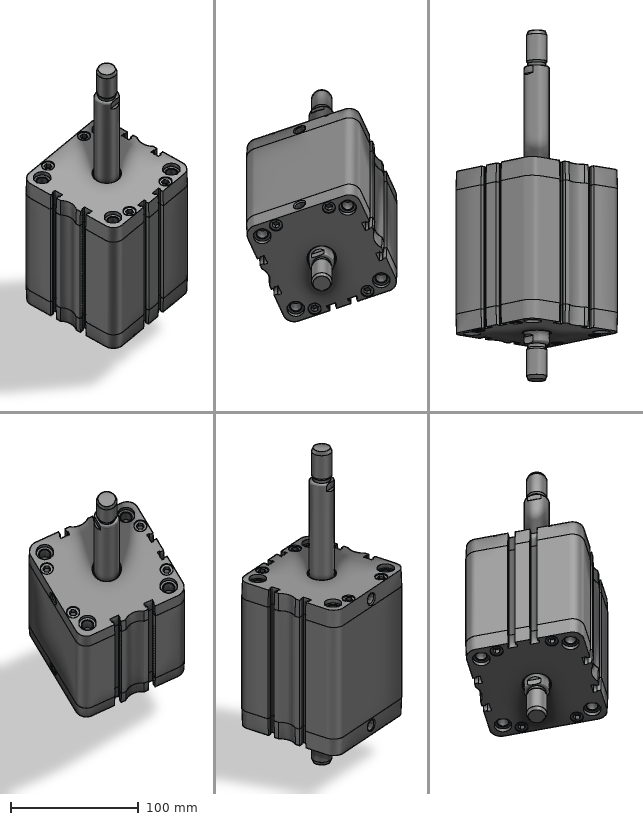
import cadquery as cq
import math

TOTAL_LENGTH = 278.0
BODY_HEIGHT = 129.0
CAP_HEIGHT = 15.0
LOWER_ROD_REACH = 37.5
TUBE_HEIGHT = BODY_HEIGHT - 2 * CAP_HEIGHT
ROD_BOTTOM = -BODY_HEIGHT / 2 - LOWER_ROD_REACH
ROD_TOP = ROD_BOTTOM + TOTAL_LENGTH

TUBE_WIDTH = 95.5
TUBE_CORNER_RADIUS = 9.7
CAP_INSET = 0.5
CAP_DRAFT_ANGLE = math.degrees(math.atan(CAP_INSET / CAP_HEIGHT))

SLOT_NECK_WIDTH = 5.8
SLOT_INNER_WIDTH = 7.5
SLOT_LIP = 3.5
SLOT_DEPTH = 6.7
SIDE_SLOT_DEPTH = 5.5
FACE_SLOT_OFFSET = 15.0
SIDE_SLOT_OFFSET = 9.0
GROOVE_DIAMETER = 25.0
GROOVE_DEPTH = 2.8
GROOVE_CENTER = TUBE_WIDTH / 2 - GROOVE_DEPTH + GROOVE_DIAMETER / 2
GROOVE_MOUTH_RADIUS = 1.0

MOUNT_PITCH = 72.0
MOUNT_BORE_DIAMETER = 13.5
MOUNT_BORE_DEPTH = 3.5
MOUNT_HOLE_DIAMETER = 8.5
MOUNT_CHAMFER_DIAMETER = 9.7

SCREW_SPAN_X = 82.8
SCREW_SPAN_Y = 44.5
SCREW_RECESS_DIAMETER = 10.3
SCREW_RECESS_FLOOR_DIAMETER = 9.7
SCREW_RECESS_DEPTH = 0.8
SCREW_HEX_ACROSS_FLATS = 5.3
SCREW_HEX_DEPTH = 4.2

PORT_DIAMETER = 8.5
PORT_CHAMFER_DIAMETER = 10.8
PORT_DEPTH = 11.0
PORT_INSET = 8.3

ROD_DIAMETER = 20.0
ROD_CHAMFER_DIAMETER = 23.0
ROD_RECESS_DIAMETER = 22.0
ROD_RECESS_DEPTH = 2.8
THREAD_DIAMETER = 16.0
THREAD_LENGTH = 28.0
NECK_DIAMETER = 14.2
NECK_LENGTH = 2.5
NECK_TAPER = 1.7
TIP_DIAMETER = 13.5
TIP_CHAMFER = 3.0
SHOULDER_ROUND_RADIUS = 2.0
FLAT_ACROSS = 17.0
FLAT_LENGTH = 5.8


def t_slot(depth):
    """T-slot cutter over the full body height, opening toward +X."""
    face = TUBE_WIDTH / 2
    neck = cq.Workplane("XY").box(depth, SLOT_NECK_WIDTH, BODY_HEIGHT)
    neck = neck.translate((face - depth / 2, 0, 0))
    inner_depth = depth - SLOT_LIP
    inner = cq.Workplane("XY").box(inner_depth, SLOT_INNER_WIDTH, BODY_HEIGHT)
    inner = inner.translate((face - SLOT_LIP - inner_depth / 2, 0, 0))
    return neck.union(inner)


def cut_t_slots(body):
    """Cut the pairs of straight T-slots into the +X, +Y and -Y sides."""
    for side in (-1, 1):
        body = body.cut(t_slot(SIDE_SLOT_DEPTH).translate((0, side * SIDE_SLOT_OFFSET, 0)))
        face_slot = t_slot(SLOT_DEPTH).rotate((0, 0, 0), (0, 0, 1), side * 90)
        for offset in (-FACE_SLOT_OFFSET, FACE_SLOT_OFFSET):
            body = body.cut(face_slot.translate((offset, 0, 0)))
    return body


def make_block(bottom, height, draft_angle=0):
    """Rounded square block with a round groove in its +Y and -Y sides; draft narrows it upward."""
    base = cq.Workplane("XY").workplane(offset=bottom)
    outline = cq.Sketch().rect(TUBE_WIDTH, TUBE_WIDTH).vertices().fillet(TUBE_CORNER_RADIUS)
    block = base.placeSketch(outline).extrude(height, taper=draft_angle)
    groove = base.circle(GROOVE_DIAMETER / 2).extrude(height, taper=-draft_angle)
    for side in (-1, 1):
        block = block.cut(groove.translate((0, side * GROOVE_CENTER, 0)))
    return block


def cut_mount_holes(cap, top):
    """Cut the stepped and chamfered mounting hole in each corner."""
    seat = top - MOUNT_BORE_DEPTH
    chamfer = (MOUNT_CHAMFER_DIAMETER - MOUNT_HOLE_DIAMETER) / 2
    profile = [
        (0, top),
        (MOUNT_BORE_DIAMETER / 2, top),
        (MOUNT_BORE_DIAMETER / 2, seat),
        (MOUNT_CHAMFER_DIAMETER / 2, seat),
        (MOUNT_HOLE_DIAMETER / 2, seat - chamfer),
        (MOUNT_HOLE_DIAMETER / 2, top - CAP_HEIGHT),
        (0, top - CAP_HEIGHT),
    ]
    hole = cq.Workplane("XZ").polyline(profile).close().revolve(360, (0, 0), (0, 1))
    for x in (-MOUNT_PITCH / 2, MOUNT_PITCH / 2):
        for y in (-MOUNT_PITCH / 2, MOUNT_PITCH / 2):
            cap = cap.cut(hole.translate((x, y, 0)))
    return cap


def cut_screw_recesses(cap, top):
    """Cut the round recesses with a hexagonal socket, corners toward +Y and -Y."""
    hex_diameter = SCREW_HEX_ACROSS_FLATS / math.cos(math.pi / 6)
    slope = (SCREW_RECESS_DIAMETER - SCREW_RECESS_FLOOR_DIAMETER) / 2 / SCREW_RECESS_DEPTH
    recess = (
        cq.Workplane("XY").workplane(offset=top)
        .rect(SCREW_SPAN_X, SCREW_SPAN_Y, forConstruction=True).vertices()
        .circle(SCREW_RECESS_DIAMETER / 2)
        .extrude(-SCREW_RECESS_DEPTH, taper=math.degrees(math.atan(slope)))
    )
    socket = (
        cq.Workplane("XY").workplane(offset=top).transformed(rotate=(0, 0, 90))
        .rect(SCREW_SPAN_Y, SCREW_SPAN_X, forConstruction=True).vertices()
        .polygon(6, hex_diameter).extrude(-SCREW_RECESS_DEPTH - SCREW_HEX_DEPTH)
    )
    return cap.cut(recess).cut(socket)


def cut_port(cap, level):
    """Cut the chamfered blind port into the -X side."""
    face = -TUBE_WIDTH / 2
    chamfer = (PORT_CHAMFER_DIAMETER - PORT_DIAMETER) / 2
    profile = [
        (face, 0),
        (face, PORT_CHAMFER_DIAMETER / 2),
        (face + chamfer, PORT_DIAMETER / 2),
        (face + PORT_DEPTH, PORT_DIAMETER / 2),
        (face + PORT_DEPTH, 0),
    ]
    port = cq.Workplane("XY").polyline(profile).close().revolve(360, (0, 0), (1, 0))
    return cap.cut(port.translate((0, 0, level)))


def cut_rod_passage(cap, top):
    """Cut the rod hole with a wider, chamfered recess at the outer end."""
    chamfer = (ROD_CHAMFER_DIAMETER - ROD_RECESS_DIAMETER) / 2
    seat = top - ROD_RECESS_DEPTH
    profile = [
        (0, top),
        (ROD_CHAMFER_DIAMETER / 2, top),
        (ROD_RECESS_DIAMETER / 2, top - chamfer),
        (ROD_RECESS_DIAMETER / 2, seat),
        (ROD_DIAMETER / 2, seat),
        (ROD_DIAMETER / 2, top - CAP_HEIGHT),
        (0, top - CAP_HEIGHT),
    ]
    return cap.cut(cq.Workplane("XZ").polyline(profile).close().revolve(360, (0, 0), (0, 1)))


def make_cap():
    """Upper end cap."""
    top = BODY_HEIGHT / 2
    cap = make_block(top - CAP_HEIGHT, CAP_HEIGHT, CAP_DRAFT_ANGLE)
    cap = cut_t_slots(cap)
    cap = cut_mount_holes(cap, top)
    cap = cut_screw_recesses(cap, top)
    cap = cut_port(cap, top - PORT_INSET)
    return cut_rod_passage(cap, top)


def make_tube():
    """Profile tube between the caps, with the passage for the rod."""
    tube = make_block(-TUBE_HEIGHT / 2, TUBE_HEIGHT)
    groove_edges = cq.selectors.BoxSelector(
        (-FACE_SLOT_OFFSET, -TUBE_WIDTH, -TUBE_HEIGHT),
        (FACE_SLOT_OFFSET, TUBE_WIDTH, TUBE_HEIGHT),
    )
    tube = tube.edges("|Z").edges(groove_edges).fillet(GROOVE_MOUTH_RADIUS)
    tube = cut_t_slots(tube)
    return tube.cut(cq.Workplane("XY").circle(ROD_DIAMETER / 2).extrude(TUBE_HEIGHT, both=True))


def rod_end_outline(tip, inward):
    """Half outline of a rod end from tip to shoulder; inward is the Z sign toward the body."""
    shoulder = tip + inward * THREAD_LENGTH
    return [
        (0, tip),
        (TIP_DIAMETER / 2, tip),
        (THREAD_DIAMETER / 2, tip + inward * TIP_CHAMFER),
        (THREAD_DIAMETER / 2, shoulder - inward * (NECK_LENGTH + NECK_TAPER)),
        (NECK_DIAMETER / 2, shoulder - inward * NECK_LENGTH),
        (NECK_DIAMETER / 2, shoulder),
        (ROD_DIAMETER / 2, shoulder),
    ]


def cut_wrench_flats(rod, shoulder, inward):
    """Cut two flats facing +X and -X from a shoulder, ending in a 45 degree run-out."""
    flat = FLAT_ACROSS / 2
    depth = ROD_DIAMETER / 2 - flat
    flat_end = shoulder + inward * FLAT_LENGTH
    profile = [
        (flat, shoulder),
        (flat, flat_end),
        (flat + depth, flat_end + inward * depth),
        (flat + depth, shoulder),
    ]
    cutter = cq.Workplane("XZ").polyline(profile).close().extrude(ROD_DIAMETER / 2, both=True)
    return rod.cut(cutter).cut(cutter.mirror("YZ"))


def make_rod():
    """Through rod with a threaded end and wrench flats at both ends."""
    lower_outline = rod_end_outline(ROD_BOTTOM, 1)
    upper_outline = rod_end_outline(ROD_TOP, -1)
    outline = lower_outline + upper_outline[::-1]
    rod = cq.Workplane("XZ").polyline(outline).close().revolve(360, (0, 0), (0, 1))
    widest_circles = cq.selectors.RadiusNthSelector(-1)
    rod = rod.edges(widest_circles).fillet(SHOULDER_ROUND_RADIUS)
    rod = cut_wrench_flats(rod, ROD_BOTTOM + THREAD_LENGTH, 1)
    return cut_wrench_flats(rod, ROD_TOP - THREAD_LENGTH, -1)


upper_cap = make_cap()
lower_cap = upper_cap.rotate((0, 0, 0), (1, 0, 0), 180)
tube = make_tube()
rod = make_rod()

bodies = [upper_cap, lower_cap, tube, rod]
result = cq.Compound.makeCompound([body.solids().val() for body in bodies])